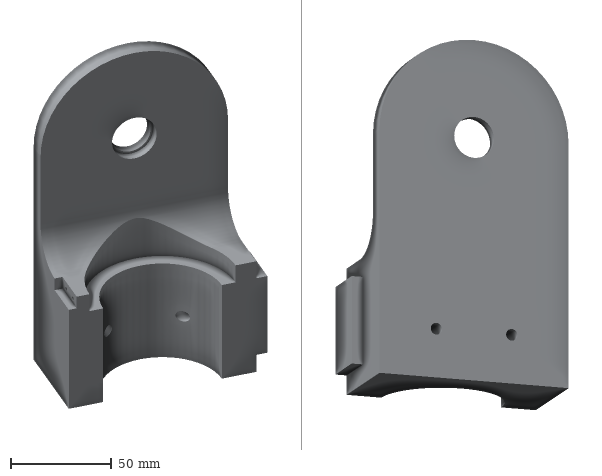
import cadquery as cq

total_height = 175.0
block_depth = 50.0
half_width = block_depth
width = 2 * half_width
plate_thickness = 10.0
block_height = 65.0
fillet_radius = 20.0

bore_radius = 39.0
liner_inner_radius = 31.7
liner_height = 55.0

arch_center_z = total_height - half_width
pivot_hole_radius = 10.5
counterbore_radius = 11.9
counterbore_depth = plate_thickness / 2

fixing_hole_diameter = 6.0
fixing_hole_spacing = 39.9
fixing_hole_z = 25.0

step_length = block_depth - plate_thickness - fillet_radius
step_depth = 4.2
step_height = 6.8
pin_hole_diameter = 2.3
pin_hole_spacing = 9.6
pin_hole_drop = 4.2

pad_length = block_depth / 2
pad_thickness = 6.0
pad_bottom_z = 10.0
pad_height = 45.0


def half_bore_cylinder(radius, height):
    """Upright cylinder on the bore axis, which lies in the +X face."""
    return cq.Workplane("XY").center(block_depth, 0).circle(radius).extrude(height)


def fixing_holes():
    return (
        cq.Workplane("YZ")
        .pushPoints([(side * fixing_hole_spacing / 2, fixing_hole_z) for side in (-1, 1)])
        .circle(fixing_hole_diameter / 2)
        .extrude(block_depth)
    )


def pivot_hole():
    through_hole = (
        cq.Workplane("YZ").center(0, arch_center_z).circle(pivot_hole_radius).extrude(plate_thickness)
    )
    counterbore = (
        cq.Workplane("YZ", origin=(plate_thickness - counterbore_depth, 0, arch_center_z))
        .circle(counterbore_radius)
        .extrude(counterbore_depth)
    )
    return through_hole.union(counterbore)


def edge_step():
    return cq.Workplane("XY").box(step_length, step_depth, step_height, centered=False).translate(
        (block_depth - step_length, -half_width, block_height - step_height)
    )


def pin_holes():
    middle_x = block_depth - step_length / 2
    hole_z = block_height - pin_hole_drop
    return (
        cq.Workplane("XZ", origin=(middle_x, 0, hole_z))
        .pushPoints([(side * pin_hole_spacing / 2, 0) for side in (-1, 1)])
        .circle(pin_hole_diameter / 2)
        .extrude(half_width)
    )


def make_bracket():
    side_profile = (
        cq.Workplane("XZ")
        .lineTo(block_depth, 0)
        .lineTo(block_depth, block_height)
        .lineTo(plate_thickness + fillet_radius, block_height)
        .radiusArc((plate_thickness, block_height + fillet_radius), fillet_radius)
        .lineTo(plate_thickness, total_height)
        .lineTo(0, total_height)
        .close()
        .extrude(half_width, both=True)
    )
    arched_outline = (
        cq.Workplane("YZ")
        .moveTo(-half_width, 0)
        .lineTo(half_width, 0)
        .lineTo(half_width, arch_center_z)
        .threePointArc((0, total_height), (-half_width, arch_center_z))
        .close()
        .extrude(block_depth)
    )
    bracket = side_profile.intersect(arched_outline)
    bracket = bracket.cut(half_bore_cylinder(bore_radius, total_height))
    bracket = bracket.cut(pivot_hole()).cut(fixing_holes())
    return bracket.cut(edge_step()).cut(pin_holes())


def make_liner():
    ring = half_bore_cylinder(bore_radius, liner_height)
    ring = ring.cut(half_bore_cylinder(liner_inner_radius, liner_height))
    block_space = cq.Workplane("XY").box(
        block_depth, width, liner_height, centered=(False, True, False)
    )
    return ring.intersect(block_space).cut(fixing_holes())


def make_side_pad():
    return cq.Workplane("XY").box(pad_length, pad_thickness, pad_height, centered=False).translate(
        (block_depth - pad_length, half_width, pad_bottom_z)
    )


bracket = make_bracket()
liner = make_liner()
side_pad = make_side_pad()

result = cq.Compound.makeCompound([bracket.solids().val(), liner.solids().val(), side_pad.val()])